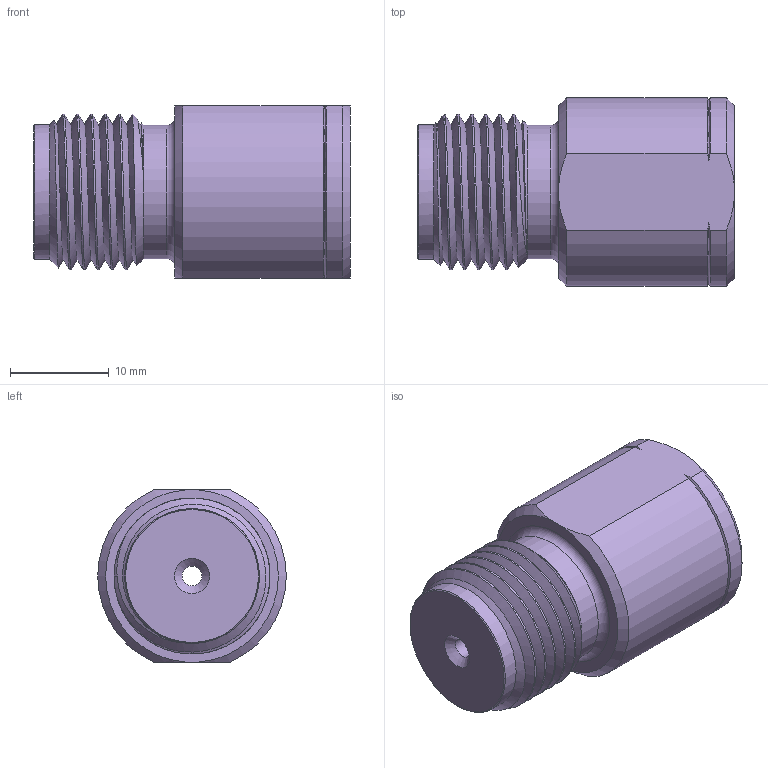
import cadquery as cq
import math

length = 32.0
body_radius = 19.05 / 2
width_across_flats = 17.4

body_start = 14.25
body_length = length - body_start
body_chamfer = 0.8
mark_groove_from_end = 2.58
mark_groove_width = 0.3
mark_groove_depth = 0.28

nose_radius = 6.82
nose_length = 1.63
nose_edge_chamfer = 0.1
neck_radius = 6.75
neck_fillet = 0.8

pitch = 25.4 / 18
thread_major_radius = 7.88
thread_end = 11.1
crest_flat = pitch / 8
flank_angle = math.radians(30)
thread_depth = (pitch - crest_flat) / 2 / math.tan(flank_angle)
thread_root_radius = thread_major_radius - thread_depth
crest_position = 2.65
cutter_overlap = 0.1

lead_in_turns = 2.5
groove_start = crest_position - lead_in_turns * pitch
groove_turns = math.ceil((thread_end - groove_start) / pitch) + 1
groove_length = groove_turns * pitch

bore_diameter = 2.0
countersink_diameter = 3.57
countersink_depth = (countersink_diameter - bore_diameter) / 2


def turn(outline):
    """Close an outline of X and radius and revolve it about the X axis."""
    return outline.close().revolve(360, (0, 0, 0), (1, 0, 0))


def make_nose_and_neck():
    fillet_mid = neck_fillet * (1 - math.sqrt(0.5))
    fillet_mid_point = (body_start - fillet_mid, neck_radius + fillet_mid)
    return turn(
        cq.Workplane("XY")
        .lineTo(0, nose_radius - nose_edge_chamfer)
        .lineTo(nose_edge_chamfer, nose_radius)
        .lineTo(nose_length, nose_radius)
        .lineTo(nose_length, neck_radius)
        .lineTo(body_start - neck_fillet, neck_radius)
        .threePointArc(fillet_mid_point, (body_start, neck_radius + neck_fillet))
        .lineTo(body_start, 0)
    )


def make_body():
    chamfered_radius = body_radius - body_chamfer
    groove_x = length - mark_groove_from_end
    body = turn(
        cq.Workplane("XY")
        .moveTo(body_start, 0)
        .lineTo(body_start, chamfered_radius)
        .lineTo(body_start + body_chamfer, body_radius)
        .lineTo(groove_x - mark_groove_width / 2, body_radius)
        .lineTo(groove_x, body_radius - mark_groove_depth)
        .lineTo(groove_x + mark_groove_width / 2, body_radius)
        .lineTo(length - body_chamfer, body_radius)
        .lineTo(length, chamfered_radius)
        .lineTo(length, 0)
    )
    between_flats = cq.Workplane("XY").box(
        body_length, 2 * body_radius, width_across_flats, centered=(False, True, True)
    )
    return body.intersect(between_flats.translate((body_start, 0, 0)))


def make_thread_blank():
    start_rise = thread_major_radius - nose_radius
    end_fall = thread_major_radius - neck_radius
    return turn(
        cq.Workplane("XY")
        .moveTo(nose_length, 0)
        .lineTo(nose_length, nose_radius)
        .lineTo(nose_length + start_rise, thread_major_radius)
        .lineTo(thread_end - end_fall, thread_major_radius)
        .lineTo(thread_end, neck_radius)
        .lineTo(thread_end, 0)
    )


def make_thread_cutter():
    """V-shaped helical cutter that leaves the thread standing between its turns."""
    outer_radius = thread_major_radius + cutter_overlap
    half_width = (thread_depth + cutter_overlap) * math.tan(flank_angle)
    helix = cq.Wire.makeHelix(pitch, groove_length, thread_root_radius)
    cutter = (
        cq.Workplane("XZ")
        .moveTo(thread_root_radius, 0)
        .lineTo(outer_radius, half_width)
        .lineTo(outer_radius, -half_width)
        .close()
        .sweep(cq.Workplane(helix), isFrenet=True)
    )
    return (
        cutter.rotate((0, 0, 0), (0, 0, 1), 90)
        .rotate((0, 0, 0), (0, 1, 0), 90)
        .translate((groove_start, 0, 0))
    )


def make_thread():
    """Cut the groove in a rod longer than the cutter, then trim it to the chamfered blank."""
    rod = (
        cq.Workplane("YZ", origin=(groove_start - pitch, 0, 0))
        .circle(thread_major_radius)
        .extrude(groove_length + 2 * pitch)
    )
    return rod.cut(make_thread_cutter()).intersect(make_thread_blank())


def make_bore():
    bore_radius = bore_diameter / 2
    return turn(
        cq.Workplane("XY")
        .lineTo(0, countersink_diameter / 2)
        .lineTo(countersink_depth, bore_radius)
        .lineTo(length, bore_radius)
        .lineTo(length, 0)
    )


result = make_nose_and_neck().union(make_body()).union(make_thread()).cut(make_bore())